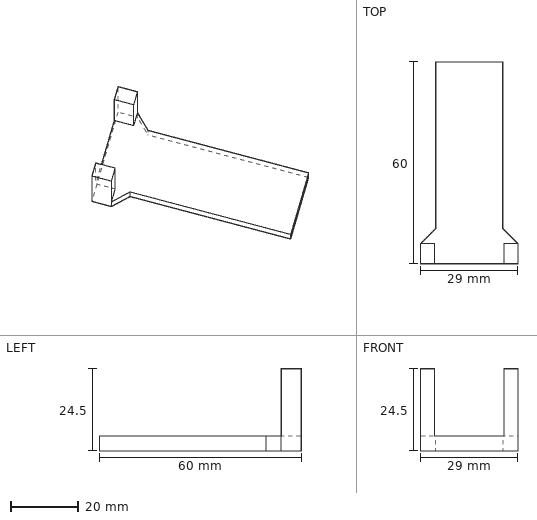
import cadquery as cq

head_width = 29.0
total_length = 60.0
total_height = 24.5

plate_width = 20.0
plate_thickness = 4.5

post_gap = 20.5
post_depth = 6.0
flare_length = 4.5

post_width = (head_width - post_gap) / 2
flare_end = post_depth + flare_length


def make_base():
    """Plate that flares out to the full head width, centred on X with its front at Y = 0."""
    half_head = head_width / 2
    half_plate = plate_width / 2
    return (
        cq.Workplane("XY")
        .moveTo(0, 0)
        .lineTo(half_head, 0)
        .lineTo(half_head, post_depth)
        .lineTo(half_plate, flare_end)
        .lineTo(half_plate, total_length)
        .lineTo(0, total_length)
        .mirrorY()
        .extrude(plate_thickness)
    )


def make_post(side):
    """Upright post on one side of the head: side is -1 or +1."""
    center_x = side * (post_gap + post_width) / 2
    return (
        cq.Workplane("XY")
        .center(center_x, post_depth / 2)
        .rect(post_width, post_depth)
        .extrude(total_height)
    )


result = make_base()
for side in (-1, 1):
    result = result.union(make_post(side))